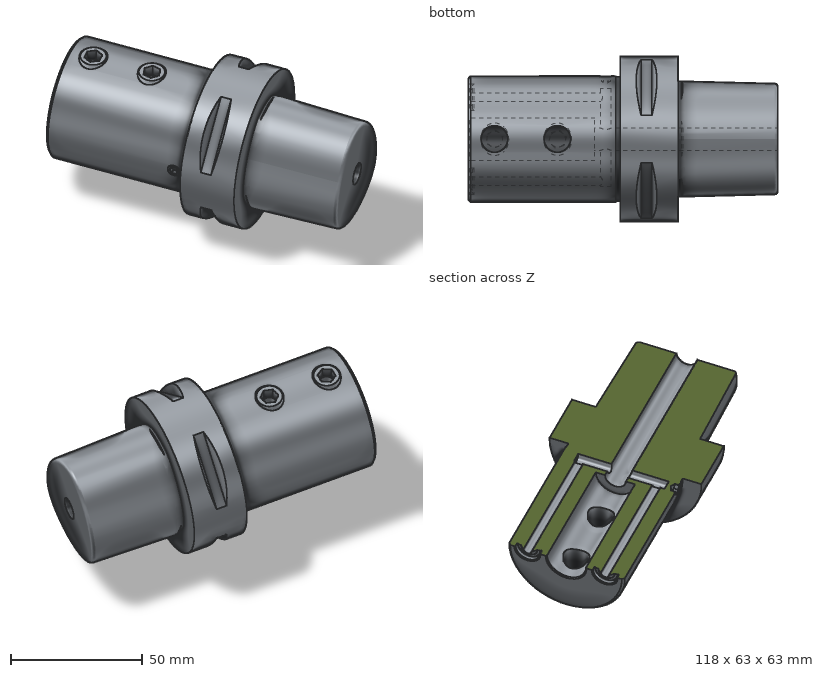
import cadquery as cq
import math

total_length = 118.0
body_radius = 48.0 / 2
body_length = 56.2
body_chamfer = 1.0
neck_radius = 47.5 / 2
flange_radius = 31.5
flange_start = 57.9
flange_end = 80.0

lobe_mean_radius = 44.0 / 2
lobe_rise = 1.4
lobe_count = 3
taper_start = 82.8
taper_per_side = 1 / 40
shank_end_fillet = 1.4
points_per_lobe = 24

groove_radius = 22.5
groove_end = 81.8
groove_corner = 0.6

slot_center = 68.0
slot_floor_distance = 27.7
slot_floor_width = 4.1
slot_rim_width = 7.9
slot_angles = (45, 135, 225, 315)

bore_diameter = 16.0
bore_mouth_diameter = 17.0
bore_depth = 48.0
coolant_diameter = 8.5

clamp_screws = ((10.0, 33), (34.0, 45))
clamp_hole_diameter = 10.1
clamp_head_radius = 5.0
clamp_head_top = 24.4
clamp_head_height = 2.4
clamp_hex_flats = 6.0
clamp_hex_depth = 4.7

nozzle_offset = 32.0 / 2
nozzle_mouth_diameter = 10.9
nozzle_hole_diameter = 10.0
nozzle_recess = 1.7
nozzle_edge_chamfer = 0.5
ball_diameter = 8.1
ball_visible_diameter = 6.8
nozzle_bore_diameter = 3.2

plug_x = 52.4
cross_bore_diameter = 4.0
plug_length = 4.7
plug_diameter = 5.0
plug_recess = 0.2
plug_hex_flats = 3.1
plug_hex_depth = 1.8

drill_point_angle = 118.0
COS_30 = math.cos(math.radians(30))


def x_cylinder(radius, start, end):
    return cq.Workplane("YZ", origin=(start, 0, 0)).circle(radius).extrude(end - start)


def x_cone(start_diameter, end_diameter, start):
    """45 degree cone along +X."""
    height = abs(start_diameter - end_diameter) / 2
    solid = cq.Solid.makeCone(
        start_diameter / 2, end_diameter / 2, height, cq.Vector(start, 0, 0), cq.Vector(1, 0, 0)
    )
    return cq.Workplane(solid)


def turned_body():
    body = x_cylinder(body_radius, 0, body_length).faces("<X").chamfer(body_chamfer)
    neck = x_cylinder(neck_radius, body_length, flange_start)
    flange = x_cylinder(flange_radius, flange_start, flange_end)
    return body.union(neck).union(flange)


def lobe_point(angle, mean_radius):
    """Point of a constant-width three-lobed curve with one lobe on +Z."""
    swing = lobe_count * (angle - math.pi / 2)
    support = mean_radius + lobe_rise * math.cos(swing)
    slope = -lobe_count * lobe_rise * math.sin(swing)
    return (
        support * math.cos(angle) - slope * math.sin(angle),
        support * math.sin(angle) + slope * math.cos(angle),
    )


def lobe_profile(plane, mean_radius):
    """Closed outline of one smooth curve per lobe, joined midway between lobes."""
    lobe_angle = 2 * math.pi / lobe_count
    for lobe in range(lobe_count):
        start = math.pi / 2 + (lobe - 0.5) * lobe_angle
        angles = [start + lobe_angle * i / points_per_lobe for i in range(points_per_lobe + 1)]
        points = [lobe_point(angle, mean_radius) for angle in angles]
        tangents = [(-math.sin(angle), math.cos(angle)) for angle in (angles[0], angles[-1])]
        if lobe == 0:
            plane = plane.moveTo(*points[0])
        plane = plane.spline(points[1:], tangents=tangents, includeCurrent=True)
    return plane.close()


def shank():
    taper_length = total_length - taper_start
    tip_radius = lobe_mean_radius - taper_per_side * taper_length
    start_plane = cq.Workplane("YZ", origin=(flange_end, 0, 0))
    straight = lobe_profile(start_plane, lobe_mean_radius).extrude(taper_start - flange_end)
    taper = lobe_profile(cq.Workplane("YZ", origin=(taper_start, 0, 0)), lobe_mean_radius)
    taper = lobe_profile(taper.workplane(offset=taper_length), tip_radius).loft(ruled=True)
    taper = taper.faces(">X").edges().fillet(shank_end_fillet)
    return straight.union(taper)


def lobe_groove():
    return (
        cq.Workplane("XY")
        .moveTo(flange_end, flange_radius)
        .lineTo(flange_end, groove_radius)
        .lineTo(groove_end - groove_corner, groove_radius)
        .lineTo(groove_end, groove_radius + groove_corner)
        .lineTo(groove_end, flange_radius)
        .close()
        .revolve(360, (0, 0, 0), (1, 0, 0))
    )


def flange_slot(angle):
    floor_half = slot_floor_width / 2
    rim_half = slot_rim_width / 2
    cutter = (
        cq.Workplane("XZ", origin=(slot_center, 0, 0))
        .moveTo(-floor_half, slot_floor_distance)
        .lineTo(floor_half, slot_floor_distance)
        .lineTo(rim_half, flange_radius)
        .lineTo(-rim_half, flange_radius)
        .close()
        .extrude(flange_radius, both=True)
    )
    return cutter.rotate((0, 0, 0), (1, 0, 0), angle)


def hex_socket(plane, flats, depth, rotation):
    """Hexagon socket sunk below the plane, ending in a drill point."""
    corners = flats / COS_30
    socket = plane.transformed(rotate=(0, 0, rotation)).polygon(6, corners).extrude(-depth)
    point_depth = flats / 2 / math.tan(math.radians(drill_point_angle / 2))
    tip = cq.Solid.makeCone(
        flats / 2, 0, point_depth, plane.plane.toWorldCoords((0, 0, -depth)), -plane.plane.zDir
    )
    return socket.union(cq.Workplane(tip))


def clamp_head(x):
    """Raised 45 degree head whose lower part lies inside the body."""
    base = cq.Vector(x, 0, clamp_head_top - clamp_head_height)
    base_radius = clamp_head_radius + clamp_head_height
    return cq.Workplane(cq.Solid.makeCone(base_radius, clamp_head_radius, clamp_head_height, base))


def clamp_socket(x, rotation):
    top = cq.Workplane("XY", origin=(x, 0, clamp_head_top))
    return hex_socket(top, clamp_hex_flats, clamp_hex_depth, rotation)


def clamp_lower_hole(x):
    return cq.Workplane("XY", origin=(x, 0, 0)).circle(clamp_hole_diameter / 2).extrude(-flange_radius)


def nozzle_cavity(y):
    """Space around and inside a nozzle: recess, ring face, ball dome and its bore."""
    mouth_radius = nozzle_mouth_diameter / 2
    wall_radius = nozzle_hole_diameter / 2
    ball_radius = ball_diameter / 2
    rim_radius = ball_visible_diameter / 2
    bore_radius = nozzle_bore_diameter / 2
    ball_center = nozzle_recess + math.sqrt(ball_radius**2 - rim_radius**2)
    dome_front = ball_center - math.sqrt(ball_radius**2 - bore_radius**2)
    arc_radius = (rim_radius + bore_radius) / 2
    arc_x = ball_center - math.sqrt(ball_radius**2 - arc_radius**2)
    return (
        cq.Workplane("XY", origin=(0, y, 0))
        .lineTo(0, mouth_radius)
        .lineTo(mouth_radius - wall_radius, wall_radius)
        .lineTo(nozzle_recess + nozzle_edge_chamfer, wall_radius)
        .lineTo(nozzle_recess, wall_radius - nozzle_edge_chamfer)
        .lineTo(nozzle_recess, rim_radius)
        .threePointArc((arc_x, arc_radius), (dome_front, bore_radius))
        .lineTo(plug_x, bore_radius)
        .lineTo(plug_x, 0)
        .close()
        .revolve(360, (0, 0, 0), (1, 0, 0))
    )


def cross_bore():
    plug_end = -(body_radius - plug_length)
    far_end = nozzle_offset + cross_bore_diameter / 2
    plane = cq.Workplane("XZ", origin=(plug_x, plug_end, 0))
    return plane.circle(cross_bore_diameter / 2).extrude(plug_end - far_end)


def plug_screw_cut():
    face_y = -(body_radius - plug_recess)
    face = cq.Workplane("XZ", origin=(plug_x, face_y, 0))
    seat = face.circle(plug_diameter / 2).extrude(2 * plug_recess)
    return seat.union(hex_socket(face, plug_hex_flats, plug_hex_depth, 0))


result = turned_body().union(shank()).cut(lobe_groove())
for slot_angle in slot_angles:
    result = result.cut(flange_slot(slot_angle))
for screw_x, hex_rotation in clamp_screws:
    result = result.union(clamp_head(screw_x))
    result = result.cut(clamp_socket(screw_x, hex_rotation)).cut(clamp_lower_hole(screw_x))
result = result.cut(x_cylinder(bore_diameter / 2, 0, bore_depth))
result = result.cut(x_cone(bore_mouth_diameter, bore_diameter, 0))
result = result.cut(x_cylinder(coolant_diameter / 2, 0, total_length))
for side in (1, -1):
    result = result.cut(nozzle_cavity(side * nozzle_offset))
result = result.cut(cross_bore()).cut(plug_screw_cut())